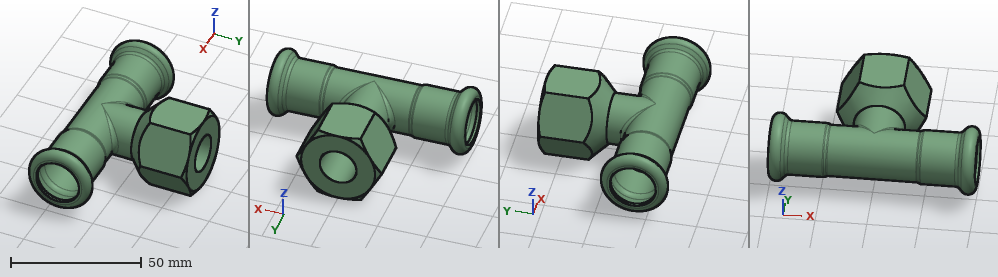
import cadquery as cq
import math

run_length = 80.0
run_radius = 9.9
bore_radius = 7.4
half_run = run_length / 2

socket_radius = 10.5
socket_bore_radius = 9.0
wall = socket_radius - socket_bore_radius
socket_depth = 21.0
bead_radius = 13.2
bead_round = 3.0
bead_root_round = 1.9
shoulder_start = 21.3
shoulder_length = 1.3
shoulder_round = 1.1
bead_center_x = bead_round - half_run
bead_center_radius = bead_radius - bead_round

branch_end = 43.0
hex_across_flats = 30.0
head_sides = 6
hex_length = 18.5
crotch_round = 2.0
crotch_overcut = 0.01
head_bevel_angle = 30.0

flat_radius = hex_across_flats / 2
corner_radius = flat_radius / math.cos(math.radians(180 / head_sides))
cone_start = branch_end - hex_length
cone_end = cone_start - (corner_radius - run_radius)
bevel_drop = (corner_radius - flat_radius) * math.tan(math.radians(head_bevel_angle))


def cylinder_x(radius, start, end):
    return cq.Workplane("YZ", origin=(start, 0, 0)).circle(radius).extrude(end - start)


def cylinder_y(radius, start, end):
    return cq.Workplane("XZ", origin=(0, start, 0)).circle(radius).extrude(start - end)


def bead_outline(end_x, bead_round, root_round, sleeve_radius):
    """Outline from the axis out over a bead, down its 45 degree flank and onto a sleeve."""
    diagonal = math.sqrt(0.5)
    flank_x = bead_center_x + bead_round * diagonal
    flank_r = bead_center_radius + bead_round * diagonal

    root_r = sleeve_radius + root_round * (1 - diagonal)
    root_x = flank_x + flank_r - root_r
    root_end = root_x + root_round * diagonal
    half_turn = math.radians(45 / 2)
    root_mid = (
        root_end - root_round * math.sin(half_turn),
        sleeve_radius + root_round * (1 - math.cos(half_turn)),
    )
    return (
        cq.Workplane("XY")
        .moveTo(end_x, 0)
        .lineTo(end_x, bead_center_radius)
        .threePointArc((bead_center_x, bead_center_radius + bead_round), (flank_x, flank_r))
        .lineTo(root_x, root_r)
        .threePointArc(root_mid, (root_end, sleeve_radius))
    )


def revolve_about_x(outline):
    return outline.close().revolve(360, (0, 0, 0), (1, 0, 0))


def make_socket():
    """Solid -X socket: bead, sleeve and a rounded taper down to the run tube."""
    taper_start = shoulder_start - half_run
    taper_end = taper_start + shoulder_length
    socket_end = taper_end + shoulder_round
    outline = (
        bead_outline(-half_run, bead_round, bead_root_round, socket_radius)
        .lineTo(taper_start, socket_radius)
        .lineTo(taper_end, run_radius)
        .lineTo(socket_end, run_radius)
        .lineTo(socket_end, 0)
    )
    solid = revolve_about_x(outline)
    taper_edges = solid.edges(
        cq.selectors.BoxSelector(
            (taper_start - 0.1, -bead_radius, -bead_radius),
            (taper_end + 0.1, bead_radius, bead_radius),
        )
    ).edges("%CIRCLE")
    return taper_edges.fillet(shoulder_round)


def make_socket_cavity():
    """-X cavity: mouth, seal groove that follows the bead, and sleeve bore."""
    cavity_end = socket_depth - half_run
    outline = (
        bead_outline(wall - half_run, bead_round - wall, bead_root_round + wall, socket_bore_radius)
        .lineTo(cavity_end, socket_bore_radius)
        .lineTo(cavity_end, 0)
    )
    mouth = cylinder_x(socket_bore_radius, -half_run, wall - half_run)
    return revolve_about_x(outline).union(mouth)


def make_head():
    """Hexagonal head with corners on X, bevelled at its end and coned to the tube."""
    prism = (
        cq.Workplane("XZ", origin=(0, cone_end, 0))
        .polygon(head_sides, 2 * corner_radius)
        .extrude(cone_end - branch_end)
    )
    envelope = (
        cq.Workplane("XY")
        .moveTo(0, cone_end)
        .lineTo(run_radius, cone_end)
        .lineTo(corner_radius, cone_start)
        .lineTo(corner_radius, branch_end - bevel_drop)
        .lineTo(flat_radius, branch_end)
        .lineTo(0, branch_end)
        .close()
        .revolve(360, (0, 0, 0), (0, 1, 0))
    )
    return prism.intersect(envelope)


def make_crotch():
    """Fillet on the +X side of the branch, fading out where the tubes meet tangentially.

    A ball rolling between the tubes touches each along an ellipse. Both ellipses lie in
    planes through Z and on one elliptic cylinder across the corner's diagonal.
    """
    center_radius = run_radius + crotch_round
    chord_reach = (run_radius + center_radius) / math.sqrt(2)
    wedge = (
        cq.Workplane("XY", origin=(0, 0, -run_radius))
        .polyline([(0, 0), (2 * center_radius, 2 * run_radius), (2 * run_radius, 2 * center_radius)])
        .close()
        .extrude(2 * run_radius)
    )
    across = cq.Plane(origin=(0, 0, 0), xDir=(1, 1, 0), normal=(1, -1, 0))
    web = wedge.intersect(
        cq.Workplane(across).ellipse(chord_reach, run_radius).extrude(run_radius, both=True)
    )
    ball_path = cq.Workplane(across).ellipse(center_radius * math.sqrt(2), center_radius)
    ball_start = cq.Plane(
        origin=(center_radius, center_radius, 0), xDir=(1, -1, 0), normal=(0, 0, 1)
    )
    ball_track = cq.Workplane(ball_start).circle(crotch_round + crotch_overcut).sweep(ball_path)
    return web.cut(ball_track)


def make_tee():
    """Equal run and branch tubes with a rounded crotch on each side."""
    run = cylinder_x(run_radius, socket_depth - half_run, half_run - socket_depth)
    crotch = make_crotch()
    tee = run.union(cylinder_y(run_radius, 0, cone_end))
    return tee.union(crotch).union(crotch.mirror("YZ"))


socket = make_socket()
outside = make_tee().union(socket).union(socket.mirror("YZ")).union(make_head())

run_bore = cylinder_x(bore_radius, -half_run, half_run)
branch_bore = cylinder_y(bore_radius, 0, branch_end)
result = outside.cut(run_bore).cut(branch_bore)

cavity = make_socket_cavity()
result = result.cut(cavity).cut(cavity.mirror("YZ"))